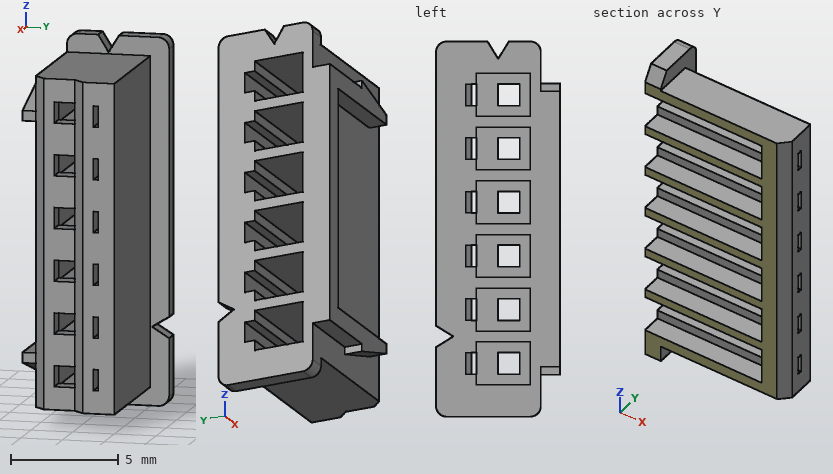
import cadquery as cq


flange_height = 17.5
flange_depth = 4.9
flange_thickness = 0.9
flange_corner_radius = 0.5
notch_width = 1.0
notch_depth = 0.8
top_notch_y = 2.0

body_length = 8.0
body_depth = 4.0
body_height = 15.72
end_chamfer = 0.5
end_step = 0.5
step_y = 2.5

contact_count = 6
contact_pitch = 2.5
cavity_near_y = 0.5
cavity_depth = 2.5
cavity_height = 2.0
end_wall = 0.9
pin_hole_size = 1.0
pin_hole_near_y = 1.0
key_slot_depth = 0.5
key_slot_gap = 0.23

latch_thickness = 0.9
latch_half_height = 6.42
latch_inner_half_height = 5.5
barb_half_height = 6.79
barb_start_x = 3.38
latch_length = 5.97
latch_tip_half_height = 5.98

stepped_end_x = body_length - end_step
cavity_floor_x = stepped_end_x - end_wall
cavity_far_y = cavity_near_y + cavity_depth
first_contact_z = -contact_pitch * (contact_count - 1) / 2
contact_heights = [first_contact_z + i * contact_pitch for i in range(contact_count)]
side_notch_z = (contact_heights[0] + contact_heights[1]) / 2


def block(x_range, y_range, height, z_center=0.0):
    """Box spanning the given X and Y ranges, centred in height on z_center."""
    x_start, x_end = x_range
    y_start, y_end = y_range
    return (
        cq.Workplane("XY")
        .box(x_end - x_start, y_end - y_start, height, centered=(False, False, True))
        .translate((x_start, y_start, z_center))
    )


def make_flange():
    """Rounded entry plate with a V notch in its top edge and another in its far edge."""
    plate = block((0, flange_thickness), (0, flange_depth), flange_height)
    plate = plate.edges("|X").fillet(flange_corner_radius)

    top_z = flange_height / 2
    half_notch = notch_width / 2
    top_notch = [
        (top_notch_y - half_notch, top_z),
        (top_notch_y, top_z - notch_depth),
        (top_notch_y + half_notch, top_z),
    ]
    side_notch = [
        (flange_depth, side_notch_z - half_notch),
        (flange_depth - notch_depth, side_notch_z),
        (flange_depth, side_notch_z + half_notch),
    ]
    for outline in (top_notch, side_notch):
        plate = plate.cut(cq.Workplane("YZ").polyline(outline).close().extrude(flange_thickness))
    return plate


def make_body():
    """Main block with a stepped, chamfered mating end."""
    outline = [
        (0, 0),
        (stepped_end_x - end_chamfer, 0),
        (stepped_end_x, end_chamfer),
        (stepped_end_x, step_y - end_step),
        (body_length, step_y),
        (body_length, body_depth),
        (0, body_depth),
    ]
    return cq.Workplane("XY").polyline(outline).close().extrude(body_height / 2, both=True)


def make_latch():
    """C-shaped raised frame: a spine along the flange and two arms ending in outward barbs."""
    upper_edge = [
        (0, latch_half_height),
        (barb_start_x, latch_half_height),
        (barb_start_x, barb_half_height),
        (latch_length, latch_tip_half_height),
        (latch_length, latch_inner_half_height),
        (flange_thickness, latch_inner_half_height),
    ]
    lower_edge = [(x, -z) for x, z in reversed(upper_edge)]
    return cq.Workplane("XZ").polyline(upper_edge + lower_edge).close().extrude(latch_thickness)


def make_contact_opening(z_center):
    """Terminal cavity, its pin hole through the end wall, and its narrowing key slot."""
    cavity = block((0, cavity_floor_x), (cavity_near_y, cavity_far_y), cavity_height, z_center)
    pin_hole = block(
        (cavity_floor_x, body_length),
        (pin_hole_near_y, pin_hole_near_y + pin_hole_size),
        pin_hole_size,
        z_center,
    )
    ramp_length = key_slot_depth - key_slot_gap
    slot_outline = [
        (0, cavity_far_y),
        (body_length, cavity_far_y),
        (body_length, cavity_far_y + key_slot_gap),
        (cavity_floor_x, cavity_far_y + key_slot_gap),
        (cavity_floor_x - ramp_length, cavity_far_y + key_slot_depth),
        (0, cavity_far_y + key_slot_depth),
    ]
    key_slot = (
        cq.Workplane("XY")
        .polyline(slot_outline)
        .close()
        .extrude(pin_hole_size / 2, both=True)
        .translate((0, 0, z_center))
    )
    return cavity.union(pin_hole).union(key_slot)


result = make_body().union(make_flange()).union(make_latch())
for contact_z in contact_heights:
    result = result.cut(make_contact_opening(contact_z))